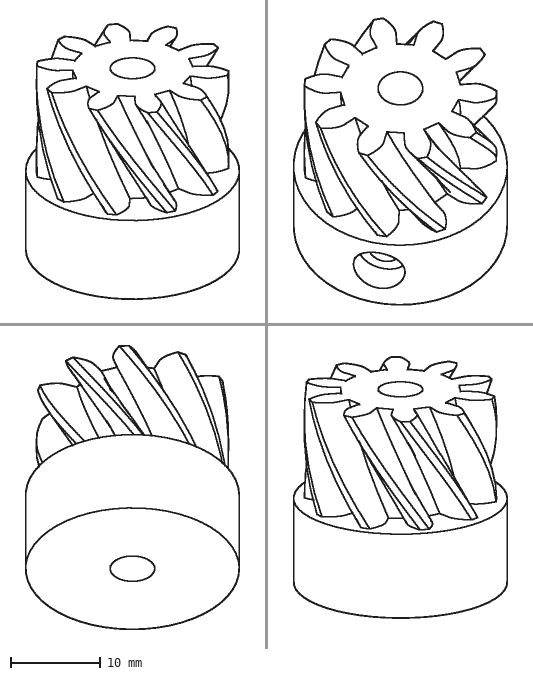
import cadquery as cq
import math

HUB_DIAMETER = 24.0
HUB_HEIGHT = 10.0
BORE_DIAMETER = 5.0

TOOTH_COUNT = 10
MODULE = 1.8
PRESSURE_ANGLE = 20.0
HELIX_ANGLE = 30.0
GEAR_HEIGHT = 12.98
TOP_TOOTH_ANGLE = 97.0
DEDENDUM_FACTOR = 1.25
FLANK_POINTS = 5

SCREW_HEIGHT = 5.5
SCREW_DIAMETER = 3.4
HEAD_DIAMETER = 5.9
HEAD_SEAT_RADIUS = 9.0

TOTAL_HEIGHT = HUB_HEIGHT + GEAR_HEIGHT
HUB_RADIUS = HUB_DIAMETER / 2
PITCH_RADIUS = MODULE * TOOTH_COUNT / 2
TIP_RADIUS = PITCH_RADIUS + MODULE
ROOT_RADIUS = PITCH_RADIUS - DEDENDUM_FACTOR * MODULE
BASE_RADIUS = PITCH_RADIUS * math.cos(math.radians(PRESSURE_ANGLE))
TOOTH_PITCH = 360 / TOOTH_COUNT

ADVANCE = GEAR_HEIGHT * math.tan(math.radians(HELIX_ANGLE))
TWIST = -math.degrees(ADVANCE / PITCH_RADIUS)


def polar(radius, angle):
    """Point at the given radius and angle in degrees."""
    return (radius * math.cos(math.radians(angle)), radius * math.sin(math.radians(angle)))


def involute_angle(radius):
    """Angle in degrees that the involute has turned through at a radius."""
    pressure = math.acos(min(1.0, BASE_RADIUS / radius))
    return math.degrees(math.tan(pressure) - pressure)


BASE_HALF_ANGLE = TOOTH_PITCH / 4 + involute_angle(PITCH_RADIUS)


def flank(center, side):
    """Involute points from base circle to tip on one side (-1 or 1) of a tooth."""
    points = []
    for i in range(FLANK_POINTS):
        radius = BASE_RADIUS + (TIP_RADIUS - BASE_RADIUS) * i / (FLANK_POINTS - 1)
        half_angle = BASE_HALF_ANGLE - involute_angle(radius)
        points.append(polar(radius, center + side * half_angle))
    return points


def gear_outline(start_angle):
    """Closed gear outline with radial flanks below the base circle and straight roots."""
    outline = cq.Workplane("XY").workplane(offset=HUB_HEIGHT)
    outline = outline.moveTo(*polar(ROOT_RADIUS, start_angle - BASE_HALF_ANGLE))
    for tooth in range(TOOTH_COUNT):
        center = start_angle + tooth * TOOTH_PITCH
        rising = flank(center, -1)
        falling = flank(center, 1)[::-1]
        outline = outline.lineTo(*rising[0]).spline(rising[1:], includeCurrent=True)
        outline = outline.threePointArc(polar(TIP_RADIUS, center), falling[0])
        outline = outline.spline(falling[1:], includeCurrent=True)
        outline = outline.lineTo(*polar(ROOT_RADIUS, center + BASE_HALF_ANGLE))
        if tooth < TOOTH_COUNT - 1:
            outline = outline.lineTo(*polar(ROOT_RADIUS, center + TOOTH_PITCH - BASE_HALF_ANGLE))
    return outline.close()


def screw_hole():
    """Radial hole into the bore, with a wider recess for the screw head."""
    entry = cq.Workplane("YZ", origin=(-HUB_RADIUS, 0, SCREW_HEIGHT))
    shank = entry.circle(SCREW_DIAMETER / 2).extrude(HUB_RADIUS)
    head = entry.circle(HEAD_DIAMETER / 2).extrude(HUB_RADIUS - HEAD_SEAT_RADIUS)
    return shank.union(head)


hub = cq.Workplane("XY").circle(HUB_RADIUS).extrude(HUB_HEIGHT)
gear = gear_outline(TOP_TOOTH_ANGLE - TWIST).twistExtrude(GEAR_HEIGHT, TWIST)
bore = cq.Workplane("XY").circle(BORE_DIAMETER / 2).extrude(TOTAL_HEIGHT)

result = hub.union(gear).cut(bore).cut(screw_hole())